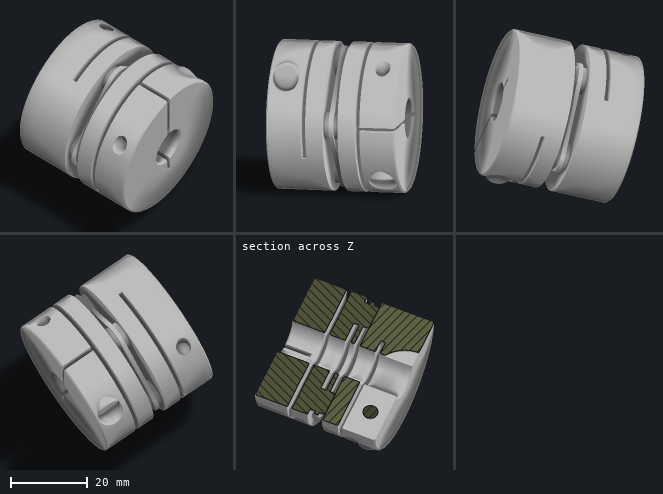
import cadquery as cq
import math


outer_radius = 19.5
overall_length = 34.1
hub_length = 15.0
outer_chamfer = 0.4

bore_radius = 5.0
bore_chamfer = 0.35

groove_start = 9.25
groove_width = 1.25
groove_floor = -8.55

slit_width = 1.1
pocket_radius = 9.25
pocket_edge = -9.2

screw_x = 4.4
screw_y = 12.25
shank_radius = 2.0
head_radius = 3.5
head_length = 4.0
head_end = 13.95
screw_length = 22.2
screw_edge_radius = 0.5

disc_thickness = 1.17
disc_half_width = 18.6
disc_corner_radius = 4.35
spacer_radius = 3.5
spacer_count = 4

diameter = 2 * outer_radius
half_length = overall_length / 2
pack_length = overall_length - 2 * hub_length
head_seat = head_end - head_length
bolt_circle_radius = disc_half_width - disc_corner_radius
disc_side = math.sqrt(2) * bolt_circle_radius + 2 * disc_corner_radius


def along_x(radius, start, length):
    """Cylinder on the X axis."""
    return cq.Workplane("YZ").workplane(offset=start).circle(radius).extrude(length)


def along_z(radius, bottom, top):
    """Cylinder parallel to Z, on the clamp screw line."""
    return cq.Workplane("XY", origin=(screw_x, screw_y, bottom)).circle(radius).extrude(top - bottom)


def box(x_start, x_end, y_start, y_end, height):
    """Block given by its X and Y limits, centred on Z = 0."""
    return cq.Workplane("XY").box(x_end - x_start, y_end - y_start, height).translate(
        ((x_start + x_end) / 2, (y_start + y_end) / 2, 0)
    )


def make_hub():
    """Clamping hub with its bore, cross groove, slit, saw pocket and stepped screw hole."""
    hub = along_x(outer_radius, 0, hub_length).faces("<X").chamfer(outer_chamfer)
    hub = hub.cut(along_x(bore_radius, 0, hub_length))
    hub = hub.faces("<X").edges("%CIRCLE").edges(cq.selectors.RadiusNthSelector(0)).chamfer(bore_chamfer)

    groove = box(groove_start, groove_start + groove_width, groove_floor, outer_radius, diameter)
    slit = box(0, groove_start, 0, outer_radius, slit_width)
    pocket = (
        cq.Workplane("XY", origin=(0, pocket_edge + pocket_radius, -slit_width / 2))
        .circle(pocket_radius)
        .extrude(slit_width)
    ).intersect(box(0, groove_start, -outer_radius, 0, slit_width))
    hub = hub.cut(groove).cut(slit).cut(pocket)

    screw_hole = along_z(shank_radius, -outer_radius, outer_radius)
    counterbore = along_z(head_radius, -outer_radius, -head_seat)
    return hub.cut(screw_hole).cut(counterbore)


def make_screw():
    """Cap screw with its head toward -Z and its tip recessed in the hub toward +Z."""
    shank = along_z(shank_radius, -head_seat, screw_length - head_seat)
    shank = shank.faces(">Z").edges().fillet(screw_edge_radius)
    head = along_z(head_radius, -head_end, -head_seat)
    head = head.faces("<Z").edges().fillet(screw_edge_radius)
    return head.union(shank)


def make_disc_pack():
    """Square disc with rounded corners, and a spacer on each side of it at every corner."""
    disc = cq.Workplane("YZ").rect(disc_side, disc_side).extrude(disc_thickness / 2, both=True)
    disc = disc.edges("|X").fillet(disc_corner_radius).rotate((0, 0, 0), (1, 0, 0), 45)
    spacers = (
        cq.Workplane("YZ")
        .polarArray(bolt_circle_radius, 0, 360, spacer_count)
        .circle(spacer_radius)
        .extrude(pack_length / 2, both=True)
    )
    return disc.union(spacers).cut(along_x(bore_radius, -pack_length, 2 * pack_length))


def place_left(body):
    return body.translate((-half_length, 0, 0))


def place_right(body):
    """Mirror image of the left end, turned a quarter turn so that its slit opens toward +Z."""
    return place_left(body).mirror("YZ").rotate((0, 0, 0), (1, 0, 0), 90)


left_hub = place_left(make_hub())
left_screw = place_left(make_screw())
right_screw = place_right(make_screw())
right_hub = place_right(make_hub()).union(make_disc_pack())

result = cq.Compound.makeCompound([left_hub.val(), right_hub.val(), left_screw.val(), right_screw.val()])